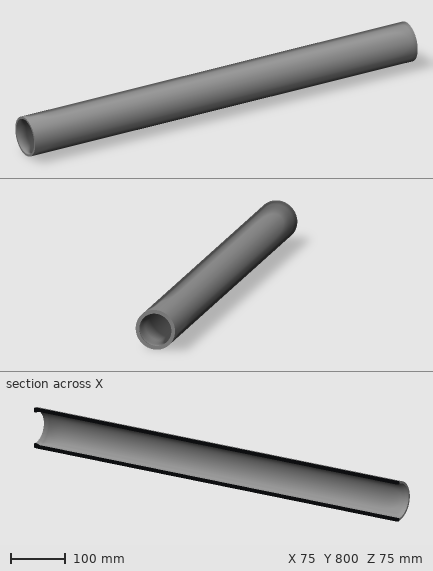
import cadquery as cq

outer_diameter = 75.0
length = 800.0
tube_wall = 4.0
back_wall = 7.0
cone_length = 10.0

outer_radius = outer_diameter / 2
bore_radius = outer_radius - tube_wall
back_bore_radius = outer_radius - back_wall
front_y = -length / 2
back_y = length / 2


def wall_section():
    """Lengthwise section through the top wall, in the YZ plane."""
    return cq.Workplane("YZ").polyline([
        (front_y, bore_radius),
        (front_y, outer_radius),
        (back_y, outer_radius),
        (back_y, back_bore_radius),
        (back_y - cone_length, bore_radius),
    ]).close()


def make_tube():
    """Turn the wall section once around the Y axis."""
    axis_start = (0, 0)
    axis_end = (1, 0)
    return wall_section().revolve(360, axis_start, axis_end)


result = make_tube()